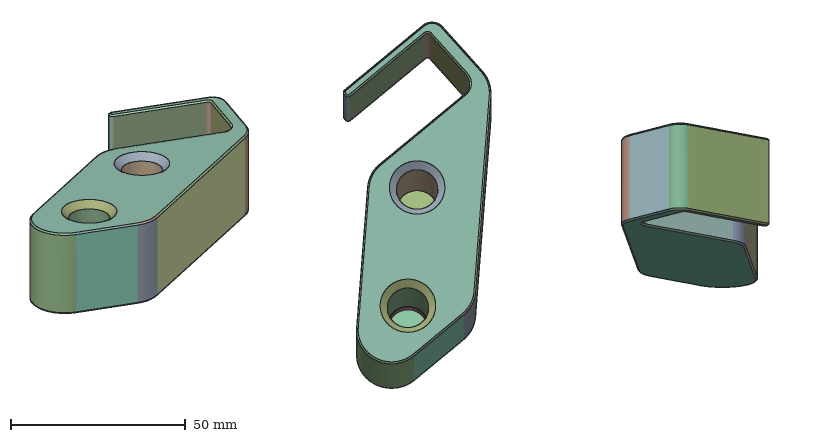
import cadquery as cq
import math

width = 73.1
length = 80.2
height = 25.4

arm_thickness = 2.5
arm_length = 34.5
bridge_thickness = 4.25
slot_right = 23.3
slot_outer_radius = 1.0
slot_body_radius = 4.0
hook_corner_radius = 4.0
arm_tip_radius = 1.0

body_radius = 10.0
upper_diagonal_start = 25.65
edge_chamfer = 0.5

hole_diameter = 11.8
mouth_diameter = 15.9
hole_spacing = 25.0
first_hole_x = 35.7
first_hole_y = 43.3
floor_thickness = 2.5

narrow_diameter = 11.2
narrow_depth = 2.5

end_center_x = width - body_radius
lower_diagonal_sum = end_center_x + body_radius - math.sqrt(2) * body_radius

slot_back = length - bridge_thickness
arm_end = length - arm_length

corners = [
    (0, arm_end, arm_tip_radius),
    (0, length, hook_corner_radius),
    (upper_diagonal_start, length, body_radius),
    (width, length + upper_diagonal_start - width, body_radius),
    (width, lower_diagonal_sum - width, body_radius),
    (slot_right, lower_diagonal_sum - slot_right, body_radius),
    (slot_right, slot_back, slot_body_radius),
    (arm_thickness, slot_back, slot_outer_radius),
    (arm_thickness, arm_end, arm_tip_radius),
]


def make_body():
    """Extrude the outline, round its upright corners and chamfer both rims."""
    outline = [(x, y) for x, y, radius in corners]
    body = cq.Workplane("XY").polyline(outline).close().extrude(height)
    for x, y, radius in corners:
        corner_edge = cq.selectors.NearestToPointSelector((x, y, height / 2))
        body = body.edges("|Z").edges(corner_edge).fillet(radius)
    return body.faces("<Z or >Z").edges().chamfer(edge_chamfer)


def make_hole(x, y, bottom):
    """Revolve a flat-bottomed hole with a 45-degree mouth about its axis."""
    hole_radius = hole_diameter / 2
    mouth_radius = mouth_diameter / 2
    mouth_depth = mouth_radius - hole_radius
    profile = [
        (0, bottom),
        (hole_radius, bottom),
        (hole_radius, height - mouth_depth),
        (mouth_radius, height),
        (0, height),
    ]
    hole = cq.Workplane("XZ").polyline(profile).close().revolve(360, (0, 0, 0), (0, 1, 0))
    return hole.translate((x, y, 0))


def make_narrow_bore(x, y):
    """Short bore that continues the second hole down to its floor."""
    bore = cq.Workplane("XY").circle(narrow_diameter / 2).extrude(narrow_depth)
    return bore.translate((x, y, floor_thickness))


second_hole_x = first_hole_x + hole_spacing
second_hole_y = first_hole_y - hole_spacing

result = (
    make_body()
    .cut(make_hole(first_hole_x, first_hole_y, floor_thickness))
    .cut(make_hole(second_hole_x, second_hole_y, floor_thickness + narrow_depth))
    .cut(make_narrow_bore(second_hole_x, second_hole_y))
)